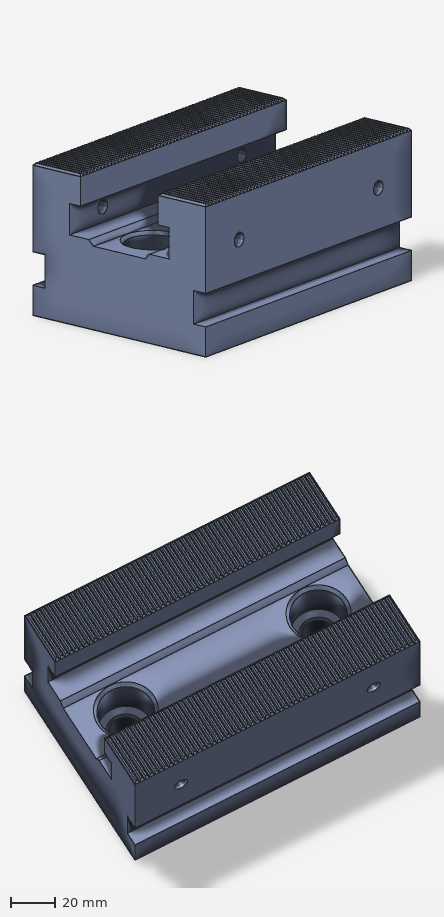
import cadquery as cq

width = 100.0
length = 148.0
height = 72.0

tooth_count = 59
tooth_height = 1.0
flank_run = 0.83
bevel_run = tooth_height
end_margin = 0.24
tooth_pitch = (length - 2 * end_margin) / tooth_count
root_z = height - tooth_height

throat_width = 45.0
slot_width = 57.7
slot_floor_z = 42.2
slot_roof_z = 57.0
relief_depth = 2.7
relief_top_width = 35.2
relief_floor_width = relief_top_width - 2 * relief_depth
relief_floor_z = slot_floor_z - relief_depth

groove_depth = 7.0
groove_bottom_z = 14.2
groove_top_z = 30.0

hole_spacing = 100.0
hole_stations = (-hole_spacing / 2, hole_spacing / 2)
bolt_diameter = 16.0
bolt_chamfer = 1.0
counterbore_diameter = 26.0
counterbore_depth = 20.0
counterbore_chamfer = 1.6
cross_hole_diameter = 6.8
cross_hole_z = (slot_floor_z + slot_roof_z) / 2


def block():
    """Extrude the symmetric XZ section along Y; the jaw tops carry the tooth end bevels."""
    side = width / 2
    groove_wall = side - groove_depth
    throat = throat_width / 2
    slot = slot_width / 2
    right_half = [
        (side, 0),
        (side, groove_bottom_z),
        (groove_wall, groove_bottom_z),
        (groove_wall, groove_top_z),
        (side, groove_top_z),
        (side, root_z),
        (side - bevel_run, height),
        (throat + bevel_run, height),
        (throat, root_z),
        (throat, slot_roof_z),
        (slot, slot_roof_z),
        (slot, slot_floor_z),
        (relief_top_width / 2, slot_floor_z),
        (relief_floor_width / 2, relief_floor_z),
    ]
    left_half = [(-x, z) for x, z in reversed(right_half)]
    section = cq.Workplane("XZ").polyline(right_half + left_half).close()
    return section.extrude(length / 2, both=True)


def serrated_envelope():
    """Extrude the toothed YZ outline across the full width."""
    front = -length / 2
    back = length / 2
    outline = [(front, 0), (front, root_z)]
    for index in range(tooth_count):
        root_start = front + end_margin + index * tooth_pitch
        root_end = root_start + tooth_pitch
        outline += [
            (root_start, root_z),
            (root_start + flank_run, height),
            (root_end - flank_run, height),
        ]
    outline += [(back - end_margin, root_z), (back, root_z), (back, 0)]
    return cq.Workplane("YZ").polyline(outline).close().extrude(width / 2, both=True)


def mounting_hole(y):
    """Revolve the stepped, chamfered bolt hole that drops from the relief floor."""
    bolt_radius = bolt_diameter / 2
    bore_radius = counterbore_diameter / 2
    seat_z = relief_floor_z - counterbore_depth
    half_section = [
        (0, 0),
        (bolt_radius, 0),
        (bolt_radius, seat_z - bolt_chamfer),
        (bolt_radius + bolt_chamfer, seat_z),
        (bore_radius, seat_z),
        (bore_radius, relief_floor_z - counterbore_chamfer),
        (bore_radius + counterbore_chamfer, relief_floor_z),
        (0, relief_floor_z),
    ]
    hole = cq.Workplane("XZ").polyline(half_section).close().revolve(360, (0, 0), (0, 1))
    return hole.translate((0, y, 0))


def cross_hole(y):
    """Make a cylinder along X through both jaws, centred on the slot height."""
    start = cq.Workplane("YZ").center(y, cross_hole_z).circle(cross_hole_diameter / 2)
    return start.extrude(width / 2, both=True)


result = block().intersect(serrated_envelope())
for station in hole_stations:
    result = result.cut(mounting_hole(station)).cut(cross_hole(station))